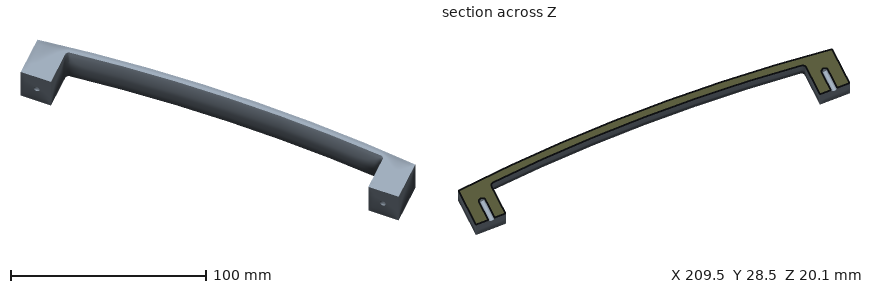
import cadquery as cq
import math

length = 209.5
depth = 28.5
height = 20.1
back_rise = 6.0
foot_width = 16.8
rim_thickness = 3.4
crown = 1.5
fillet_radius = 1.9
hole_spacing = 192.0
hole_diameter = 3.4
hole_depth = 12.5
drill_point_angle = 118.0
overhang = 1.0

half_length = length / 2
half_height = height / 2
back_end = depth - back_rise
back_radius = (half_length**2 + back_rise**2) / (2 * back_rise)
inner_face_x = half_length - foot_width


def make_bow():
    """Solid block whose back is one arc from end to end."""
    return (
        cq.Workplane("XY", origin=(0, 0, -half_height))
        .moveTo(-half_length, 0)
        .lineTo(half_length, 0)
        .lineTo(half_length, back_end)
        .threePointArc((0, depth), (-half_length, back_end))
        .close()
        .extrude(height)
    )


def make_hand_gap():
    """Space between the feet, roofed by the crowned underside of the grip."""
    crown_radius = (half_height**2 + crown**2) / (2 * crown)
    ridge = back_radius - rim_thickness - crown
    half_span = half_height + overhang
    edge = ridge + crown_radius - math.sqrt(crown_radius**2 - half_span**2)
    section_base = back_radius - depth - back_rise - overhang
    section = (
        cq.Workplane("YZ")
        .moveTo(section_base, -half_span)
        .lineTo(edge, -half_span)
        .threePointArc((ridge, 0), (edge, half_span))
        .lineTo(section_base, half_span)
        .close()
    )
    sweep_angle = 2 * math.degrees(math.asin(half_length / back_radius))
    ring = (
        section.revolve(sweep_angle, (0, 0, 0), (0, 1, 0))
        .rotate((0, 0, 0), (0, 0, 1), -sweep_angle / 2)
        .translate((0, depth - back_radius, 0))
    )
    between_feet = cq.Workplane("XY").box(2 * inner_face_x, 2 * (depth + overhang), 2 * half_span)
    gap = ring.intersect(between_feet)
    for side in (-1, 1):
        corner = cq.selectors.BoxSelector(
            (side * inner_face_x - overhang, back_end / 2, -overhang),
            (side * inner_face_x + overhang, depth, overhang),
        )
        gap = gap.edges(corner).fillet(fillet_radius)
    return gap


def make_screw_hole(x):
    """Blind drilled hole with a conical tip, entering from the mounting face."""
    radius = hole_diameter / 2
    tip = radius / math.tan(math.radians(drill_point_angle / 2))
    profile = [(0, 0), (radius, 0), (radius, hole_depth), (0, hole_depth + tip)]
    drill = cq.Workplane("XY").polyline(profile).close().revolve(360, (0, 0, 0), (0, 1, 0))
    return drill.translate((x, 0, 0))


result = make_bow().cut(make_hand_gap())
for side in (-1, 1):
    result = result.cut(make_screw_hole(side * hole_spacing / 2))